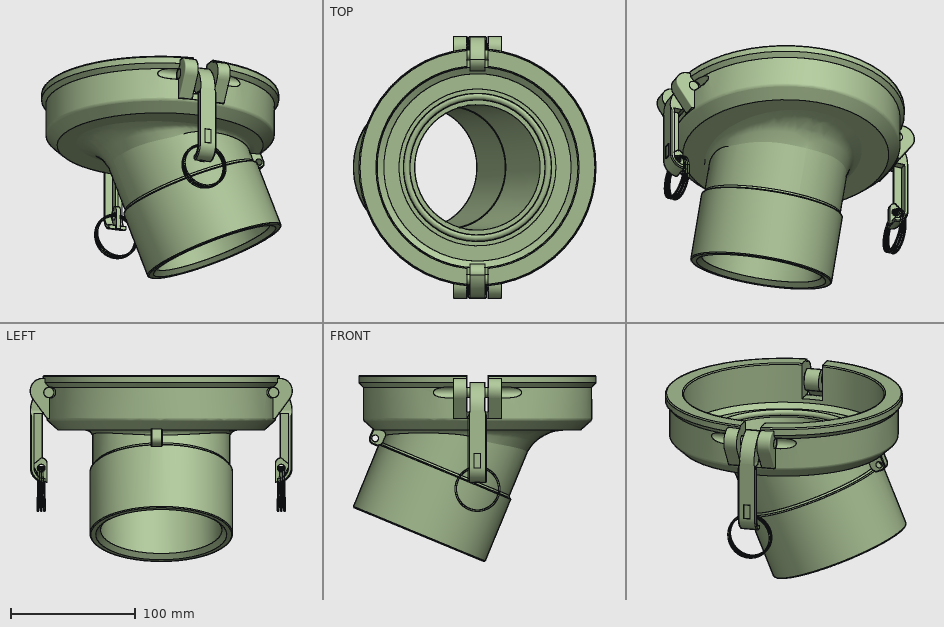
import cadquery as cq
import math


flange_radius = 95.0
flange_edge = 1.0
flange_straight = 6.0
body_radius = 91.6
body_top = 9.7
body_bottom = 35.8
body_fillet = 3.0
head_depth = 44.0
underside_radius = 82.5

wall_radius = 80.4
wall_chamfer = 1.0
wall_depth = 32.7
floor_radius = 75.0
floor_depth = 36.5
seat_radius = 62.8
seat_depth = 35.5
bead_radius = 56.7
bead_section = 2.7
bead_depth = 34.3
rim_radius = 50.2

tilt = 22.5
axis_crossing_depth = 14.3
outlet_end_offset = 46.93
sleeve_radius = 57.2
sleeve_length = 54.2
shoulder_radius = 55.8
shoulder_end = 55.1
shoulder_fillet_end = 56.8
sleeve_edge = 0.8
pipe_radius = 55.0
pipe_length = 120.0
hose_bore_radius = 48.6
hose_bore_depth = 63.4
elbow_bore_radius = 49.2
mouth_radius = 52.5
mouth_depth = 3.8
neck_fillet = 6.0
inside_bend_fillet = 33.0
skirt_inset_slope = 0.1
skirt_tip_inset = 0.3
skirt_sections = 8

lug_inner = 53.0
lug_outer = 66.2
lug_start = 52.8
lug_end = 70.0
lug_corner = 4.2
lug_hole_from_axis = 61.8
lug_hole_from_end = 57.8
lug_hole_radius = 2.6
lug_y_start = -0.9
lug_width = 9.1
lug_edge = 0.7

slot_width = 17.0
slot_depth = 29.4
slot_y_start = 70.0
ear_width = 10.8
ear_radius = 10.2
ear_y = 105.0 - ear_radius
ear_depth = 12.6
ear_bottom = 34.5
ear_root_y = 84.0
ear_fillet = 0.9
pin_radius = 4.1
pin_y = 90.0
pin_depth = 13.8
groove_half_length = 35.5
groove_radius = 4.4
groove_y = 88.9
bearing_half_width = slot_width / 2 + ear_width

cam_width = 12.0
cam_radius = 9.0
cam_y = 86.3
cam_depth = 14.6
arm_width = 14.8
arm_outer_y = 104.8
arm_inner_y = 95.1
arm_top = 28.3
arm_shoulder = 33.0
arm_inner_top = 30.5
arm_edge = 0.9
plate_thickness = 3.1
web_width = 2.0
eye_width = 3.6
arm_bend_start = 74.2
arm_bottom = 85.9
eye_y = 96.1
eye_round = 4.8
eye_round_depth = 70.9
eye_hole_radius = 3.0
eye_hole_depth = 74.4
mark_width = 5.2
mark_top = 62.7
mark_bottom = 74.1
mark_recess = 0.5

ring_radius = 17.4
ring_wire_radius = 0.6
ring_depth = 91.0
ring_turns = 3
ring_points_per_turn = 16
ring_top_pitch = 1.25
ring_bottom_pitch = 2.6

diagonal = math.sqrt(0.5)
tilt_rad = math.radians(tilt)
outlet_end = cq.Vector(
    -outlet_end_offset, 0, -axis_crossing_depth - outlet_end_offset / math.tan(tilt_rad)
)
outlet_axis = cq.Vector(math.sin(tilt_rad), 0, math.cos(tilt_rad))
outlet_plane = cq.Plane(
    origin=outlet_end, xDir=(math.cos(tilt_rad), 0, -math.sin(tilt_rad)), normal=outlet_axis
)


def block(x_size, y_range, z_range):
    """Box centred on X = 0 between the given Y and Z limits."""
    return cq.Workplane("XY").box(
        x_size, y_range[1] - y_range[0], z_range[1] - z_range[0], centered=(True, False, False)
    ).translate((0, y_range[0], z_range[0]))


def cross_cylinder(radius, length, y, depth):
    """Cylinder along X, centred on X = 0."""
    return (
        cq.Workplane("YZ", origin=(-length / 2, 0, 0)).center(y, -depth).circle(radius).extrude(length)
    )


def head_blank():
    blank = (
        cq.Workplane("XZ")
        .moveTo(0, 0)
        .lineTo(flange_radius - flange_edge, 0)
        .lineTo(flange_radius, -flange_edge)
        .lineTo(flange_radius, -flange_straight)
        .lineTo(body_radius, -body_top)
        .lineTo(body_radius, -body_bottom)
        .lineTo(underside_radius, -head_depth)
        .lineTo(0, -head_depth)
        .close()
        .revolve(360, (0, 0, 0), (0, 1, 0))
    )
    lower_edge = cq.selectors.BoxSelector((-1, -1, -body_bottom - 1), (1, 1, -body_bottom + 1))
    return blank.edges(lower_edge).fillet(body_fillet)


def head_cavity():
    """Space inside the rim, down to the sloped floor and the raised seat."""
    return (
        cq.Workplane("XZ")
        .moveTo(0, 0)
        .lineTo(wall_radius + wall_chamfer, 0)
        .lineTo(wall_radius, -wall_chamfer)
        .lineTo(wall_radius, -wall_depth)
        .lineTo(floor_radius, -floor_depth)
        .lineTo(seat_radius, -floor_depth)
        .lineTo(seat_radius, -seat_depth)
        .lineTo(0, -seat_depth)
        .close()
        .revolve(360, (0, 0, 0), (0, 1, 0))
    )


def sealing_bead():
    return cq.Workplane(
        cq.Solid.makeTorus(bead_radius, bead_section, cq.Vector(0, 0, -bead_depth), cq.Vector(0, 0, 1))
    )


def revolve_on_outlet(points):
    """Turn an outline of (radius, distance from the outlet end) about the outlet axis."""
    side = cq.Plane(origin=outlet_end, xDir=outlet_plane.xDir, normal=(0, -1, 0))
    return cq.Workplane(side).polyline(points).close().revolve(360, (0, 0, 0), (0, 1, 0))


def outlet():
    """Pipe and sleeve along the tilted axis, cut off inside the head floor."""
    turned = revolve_on_outlet([
        (0, 0),
        (sleeve_radius - sleeve_edge, 0),
        (sleeve_radius, sleeve_edge),
        (sleeve_radius, sleeve_length),
        (shoulder_radius, shoulder_end),
        (pipe_radius, shoulder_fillet_end),
        (pipe_radius, pipe_length),
        (0, pipe_length),
    ])
    clip_top = -(seat_depth + head_depth) / 2
    clip = block(4 * flange_radius, (-2 * flange_radius, 2 * flange_radius), (-4 * flange_radius, clip_top))
    return turned.intersect(clip)


def fillet_flare(radius, drop):
    """Sideways growth of a concave fillet at a drop below the face it runs into."""
    rest = max(radius - drop, 0)
    return radius - math.sqrt(radius**2 - rest**2)


def neck_skirt():
    """Fillet between head and pipe, wide inside the bend and small elsewhere."""
    pipe_half_x = pipe_radius / math.cos(tilt_rad)
    corner_x = (axis_crossing_depth - head_depth) * math.tan(tilt_rad) + pipe_half_x
    tangent = inside_bend_fillet * math.tan(math.radians(45) - tilt_rad / 2)
    bend_centre_x = corner_x + tangent
    skirt_drop = tangent * math.cos(tilt_rad)
    sections = []
    for i in range(skirt_sections + 1):
        drop = skirt_drop * (i / skirt_sections) ** 2
        axis_x = (axis_crossing_depth - head_depth - drop) * math.tan(tilt_rad)
        flare = fillet_flare(neck_fillet, drop) - skirt_inset_slope * drop
        left = axis_x - pipe_half_x - flare
        bend_reach = math.sqrt(inside_bend_fillet**2 - (inside_bend_fillet - drop) ** 2)
        right = bend_centre_x - bend_reach - skirt_tip_inset * drop / skirt_drop
        half_x = (right - left) / 2
        half_y = pipe_radius + flare
        sections.append(
            cq.Wire.makeEllipse(
                max(half_x, half_y),
                min(half_x, half_y),
                cq.Vector((left + right) / 2, 0, -head_depth - drop),
                cq.Vector(0, 0, 1),
                cq.Vector(1, 0, 0),
            )
        )
    return cq.Workplane(cq.Solid.makeLoft(sections, False))


def tether_lug():
    """Lug squared to the outlet axis, filling the corner between sleeve and head."""
    lug = (
        cq.Workplane(outlet_plane)
        .workplane(offset=lug_start)
        .center(-(lug_inner + lug_outer) / 2, lug_y_start + lug_width / 2)
        .rect(lug_outer - lug_inner, lug_width)
        .extrude(lug_end - lug_start)
    )
    lug = lug.edges("|Y").edges("<X").fillet(lug_corner)
    hole_centre = outlet_end + outlet_axis * lug_hole_from_end - outlet_plane.xDir * lug_hole_from_axis
    hole = (
        cq.Workplane("XZ", origin=(0, lug_y_start, 0))
        .center(hole_centre.x, hole_centre.z)
        .circle(lug_hole_radius)
        .extrude(-lug_width)
    )
    return lug.faces("|Y").edges().chamfer(lug_edge).cut(hole)


def bore():
    hose_bore = revolve_on_outlet([
        (0, 0),
        (mouth_radius, 0),
        (hose_bore_radius, mouth_depth),
        (hose_bore_radius, hose_bore_depth),
        (0, hose_bore_depth),
    ])
    joint = outlet_end + outlet_axis * hose_bore_depth
    elbow_bore = cq.Solid.makeLoft(
        [
            cq.Wire.makeCircle(elbow_bore_radius, joint, outlet_axis),
            cq.Wire.makeCircle(rim_radius, cq.Vector(0, 0, -seat_depth), cq.Vector(0, 0, 1)),
        ],
        True,
    )
    return hose_bore.union(cq.Workplane(elbow_bore))


def ear_pair():
    """Ears for both sides of the slot: round outside, sloping back to the body edge."""
    reach = body_radius - ear_y
    drop = ear_bottom - ear_depth
    distance = math.hypot(reach, drop)
    tangent_angle = math.atan2(-drop, reach) + math.acos(ear_radius / distance)
    tangent_y = ear_y + ear_radius * math.cos(tangent_angle)
    tangent_z = -ear_depth + ear_radius * math.sin(tangent_angle)
    middle_angle = (math.radians(90) + tangent_angle) / 2
    ears = (
        cq.Workplane("YZ", origin=(-bearing_half_width, 0, 0))
        .moveTo(ear_root_y, -ear_bottom)
        .lineTo(body_radius, -ear_bottom)
        .lineTo(tangent_y, tangent_z)
        .threePointArc(
            (ear_y + ear_radius * math.cos(middle_angle), -ear_depth + ear_radius * math.sin(middle_angle)),
            (ear_y, -ear_depth + ear_radius),
        )
        .lineTo(ear_root_y, -ear_depth + ear_radius)
        .close()
        .extrude(2 * bearing_half_width)
    )
    outer_edges = cq.selectors.BoxSelector(
        (-2 * bearing_half_width, ear_y + 0.5, -body_bottom),
        (2 * bearing_half_width, 2 * flange_radius, 0),
    )
    return ears.edges("#X").edges(outer_edges).fillet(ear_fillet)


def pin_bore():
    """Space taken by the hinge pin, flush with the outer faces of the ears."""
    return cross_cylinder(pin_radius, 2 * bearing_half_width, pin_y, pin_depth)


def pin_groove():
    """Insertion groove for the pin, left and right of the ears."""
    groove = cross_cylinder(groove_radius, 2 * groove_half_length, groove_y, pin_depth)
    return groove.cut(cross_cylinder(2 * groove_radius, 2 * bearing_half_width, groove_y, pin_depth))


def lever_slot():
    return block(slot_width, (slot_y_start, 2 * flange_radius), (-slot_depth, 0)).union(
        block(slot_width, (body_radius, 2 * flange_radius), (-head_depth, 0))
    )


def on_both_sides(feature):
    return [feature, feature.mirror("XZ")]


def make_housing():
    housing = head_blank()
    for ears in on_both_sides(ear_pair()):
        housing = housing.union(ears)
    housing = housing.union(outlet()).union(neck_skirt()).union(tether_lug())
    housing = housing.cut(head_cavity()).cut(bore())
    housing = housing.union(sealing_bead())
    for cutter in (pin_bore(), pin_groove(), lever_slot()):
        for tool in on_both_sides(cutter):
            housing = housing.cut(tool)
    return housing


def side_profile(outline, width):
    """Extrude a closed (Y, Z) outline along X, centred on X = 0."""
    return outline.close().extrude(width / 2, both=True)


def lever_plate():
    """Cam and the thin arm plate that runs down from it, bent inwards at its end."""
    cam_top = cam_radius - cam_depth
    cam_reach = arm_outer_y - cam_y
    back_drop = cam_top + arm_top
    back_radius = (cam_reach**2 + back_drop**2) / (2 * cam_reach)
    back_angle = math.asin(back_drop / back_radius) / 2
    tip_radius = arm_bottom - arm_bend_start
    tip_inner_radius = tip_radius - plate_thickness
    tip_y = arm_outer_y - tip_radius
    outline = (
        cq.Workplane("YZ")
        .moveTo(cam_y, cam_top)
        .threePointArc(
            (arm_outer_y - back_radius * (1 - math.cos(back_angle)), back_radius * math.sin(back_angle) - arm_top),
            (arm_outer_y, -arm_top),
        )
        .lineTo(arm_outer_y, -arm_bend_start)
        .threePointArc(
            (tip_y + tip_radius * diagonal, -arm_bend_start - tip_radius * diagonal), (tip_y, -arm_bottom)
        )
        .lineTo(tip_y, plate_thickness - arm_bottom)
        .threePointArc(
            (tip_y + tip_inner_radius * diagonal, -arm_bend_start - tip_inner_radius * diagonal),
            (arm_outer_y - plate_thickness, -arm_bend_start),
        )
        .lineTo(arm_outer_y - plate_thickness, -arm_inner_top)
        .lineTo(arm_inner_y, -arm_inner_top)
        .lineTo(cam_y, -cam_depth - cam_radius)
        .threePointArc((cam_y - cam_radius, -cam_depth), (cam_y, cam_radius - cam_depth))
    )
    front = (
        cq.Workplane("XZ")
        .moveTo(-cam_width / 2, 0)
        .lineTo(cam_width / 2, 0)
        .lineTo(cam_width / 2, -arm_top)
        .lineTo(arm_width / 2, -arm_shoulder)
        .lineTo(arm_width / 2, -2 * arm_bottom)
        .lineTo(-arm_width / 2, -2 * arm_bottom)
        .lineTo(-arm_width / 2, -arm_shoulder)
        .lineTo(-cam_width / 2, -arm_top)
        .close()
        .extrude(-2 * flange_radius)
    )
    long_edges = cq.selectors.BoxSelector(
        (-arm_width, arm_outer_y - 0.1, -arm_bend_start), (arm_width, arm_outer_y + 0.1, -arm_shoulder)
    )
    plate = side_profile(outline, arm_width).intersect(front)
    return plate.edges("|Z").edges(long_edges).chamfer(arm_edge)


def lever_web():
    """Stiffening web behind the plate."""
    return block(web_width, (arm_inner_y, arm_outer_y - plate_thickness), (-arm_bend_start, -arm_inner_top))


def lever_eye():
    """Rounded lug at the foot of the web that carries the split ring."""
    outline = (
        cq.Workplane("YZ")
        .moveTo(arm_outer_y - plate_thickness, -arm_bend_start)
        .lineTo(eye_y, -arm_bottom + plate_thickness / 2)
        .lineTo(eye_y - eye_round, -arm_bottom)
        .lineTo(eye_y - eye_round, -eye_round_depth)
        .threePointArc(
            (eye_y - eye_round * diagonal, -eye_round_depth + eye_round * diagonal),
            (eye_y, -eye_round_depth + eye_round),
        )
        .lineTo(arm_outer_y - plate_thickness, -eye_round_depth)
    )
    return side_profile(outline, eye_width)


def make_lever():
    """Cam lever with its hinge pin and an eye for the split ring, on the +Y side."""
    eye_hole = cross_cylinder(eye_hole_radius, arm_width, eye_y, eye_hole_depth)
    mark = block(mark_width, (arm_outer_y - mark_recess, 2 * arm_outer_y), (-mark_bottom, -mark_top))
    lever = lever_plate().union(lever_web()).union(lever_eye()).union(pin_bore())
    return lever.cut(eye_hole).cut(mark)


def make_split_ring():
    """One wire wound in turns that lie close in the lever eye and fan out below it."""
    points = []
    for i in range(ring_turns * ring_points_per_turn + 1):
        turns = i / ring_points_per_turn
        angle = 2 * math.pi * turns
        pitch = ring_top_pitch + (ring_bottom_pitch - ring_top_pitch) * (1 - math.cos(angle)) / 2
        points.append(cq.Vector(
            ring_radius * math.sin(angle),
            eye_y + pitch * (turns - ring_turns / 2),
            ring_radius * math.cos(angle) - ring_depth,
        ))
    path = cq.Workplane(cq.Edge.makeSpline(points))
    start = cq.Plane(origin=points[0], xDir=(0, 1, 0), normal=(1, 0, 0))
    return cq.Workplane(start).circle(ring_wire_radius).sweep(path, isFrenet=True)


housing = make_housing()
levers = on_both_sides(make_lever())
split_rings = on_both_sides(make_split_ring())

result = cq.Compound.makeCompound(
    [housing.val(), *[lever.val() for lever in levers], *[ring.val() for ring in split_rings]]
)